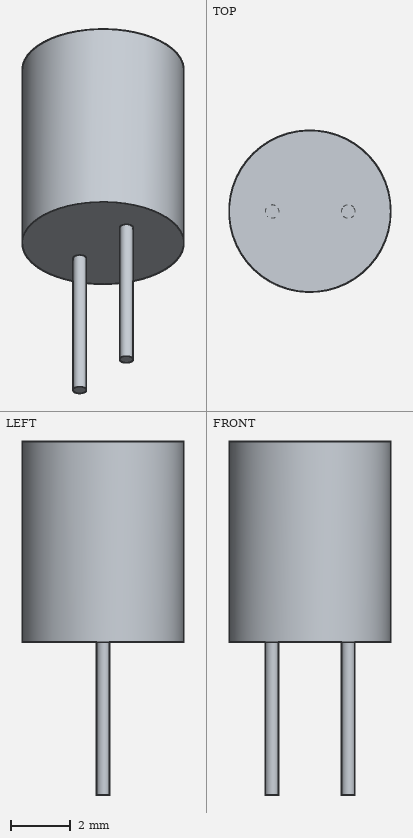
import cadquery as cq

housing_diameter = 5.4
housing_height = 6.7

lead_diameter = 0.45
lead_pitch = 2.54
overall_height = 11.8
lead_length = overall_height - housing_height


def make_housing():
    return cq.Workplane("XY").circle(housing_diameter / 2).extrude(housing_height)


def make_lead(x):
    """Round lead hanging from the underside of the housing at the given X."""
    return cq.Workplane("XY").center(x, 0).circle(lead_diameter / 2).extrude(-lead_length)


housing = make_housing()
leads = [make_lead(side * lead_pitch / 2) for side in (-1, 1)]

result = cq.Compound.makeCompound([housing.val(), *[lead.val() for lead in leads]])